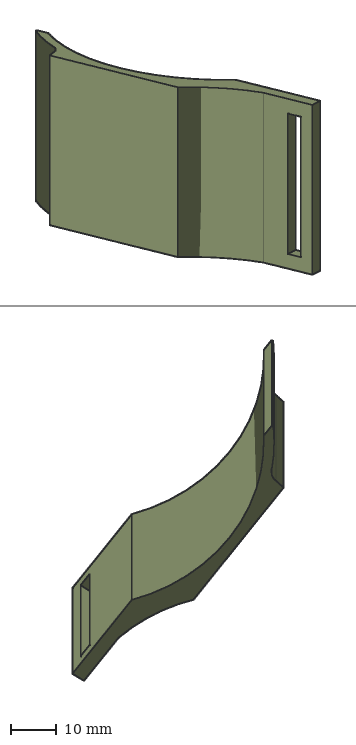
import cadquery as cq
import math

length = 75.6
depth = 11.0
height = 40.0

cradle_left = 3.0
cradle_right = 53.1
cradle_sag = 8.55
lip_thickness = 2.3
lip_tip_x = 0.0
lip_root_x = 9.0

pad_left = 11.0
pad_right = 45.2
fillet_end_x = 10.6
fillet_end_y = -8.6

tab_left = 62.45
tab_thickness = 3.1
transition_radius = 39.3

slot_left = 69.1
slot_width = 3.4
slot_margin = 3.5

half_chord = (cradle_right - cradle_left) / 2
cradle_radius = (half_chord**2 + cradle_sag**2) / (2 * cradle_sag)
cradle_x = (cradle_left + cradle_right) / 2
cradle_y = cradle_radius - cradle_sag
lip_radius = cradle_radius + lip_thickness


def lip_point(x):
    """Point at x on the outer lip arc, concentric with the cradle."""
    return (x, cradle_y - math.sqrt(lip_radius**2 - (x - cradle_x) ** 2))


def make_body():
    """Strap-end profile in XY, extruded along Z."""
    return (
        cq.Workplane("XY")
        .moveTo(0, 0)
        .lineTo(*lip_point(lip_tip_x))
        .threePointArc(lip_point((lip_tip_x + lip_root_x) / 2), lip_point(lip_root_x))
        .tangentArcPoint((fillet_end_x, fillet_end_y), relative=False)
        .lineTo(pad_left, -depth)
        .lineTo(pad_right, -depth)
        .radiusArc((tab_left, -tab_thickness), transition_radius)
        .lineTo(length, -tab_thickness)
        .lineTo(length, 0)
        .lineTo(cradle_right, 0)
        .threePointArc((cradle_x, -cradle_sag), (cradle_left, 0))
        .close()
        .extrude(height)
    )


def make_slot():
    """Rectangular strap slot through the tab along Y."""
    return cq.Workplane("XY").box(
        slot_width, tab_thickness, height - 2 * slot_margin, centered=False
    ).translate((slot_left, -tab_thickness, slot_margin))


result = make_body().cut(make_slot())